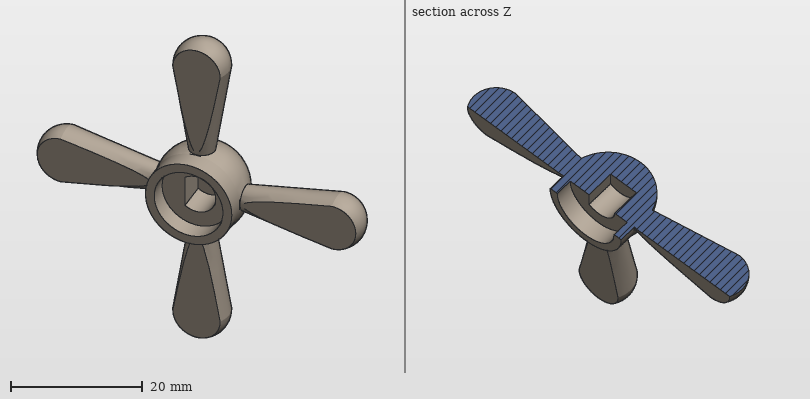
import cadquery as cq
import math

span = 54.0
height = 12.68
base_height = 3.0
dome_radius = 7.5
base_y = dome_radius - height
flat_y = base_y + base_height

arm_count = 4
knob_radius = 4.5
knob_centre = span / 2 - knob_radius
flat_start = 7.65

recess_radius = 5.7
recess_depth = 3.0
spindle_radius = 3.2
spindle_flat_x = -1.9
spindle_depth = 5.0


def hub():
    """Spherical dome on a short cylinder whose radius matches the dome where they meet."""
    base_radius = math.sqrt(dome_radius**2 - flat_y**2)
    profile = (
        cq.Workplane("XY")
        .moveTo(0, base_y)
        .lineTo(base_radius, base_y)
        .lineTo(base_radius, flat_y)
        .threePointArc((dome_radius, 0), (0, dome_radius))
        .close()
    )
    return profile.revolve(360, (0, 0, 0), (0, 1, 0))


def arm():
    """Arm along +X that widens to a ball, with its -Y side cut flat."""
    taper = (knob_radius + flat_y) / (knob_centre - flat_start)
    radius_at_hub_axis = knob_radius - taper * knob_centre
    profile = (
        cq.Workplane("XY")
        .lineTo(0, radius_at_hub_axis)
        .lineTo(knob_centre, knob_radius)
        .radiusArc((span / 2, 0), knob_radius)
        .close()
    )
    round_arm = profile.revolve(360, (0, 0, 0), (1, 0, 0))
    above_flat = cq.Workplane("XY").box(span, span, span).translate((0, flat_y + span / 2, 0))
    return round_arm.intersect(above_flat)


def spindle_socket():
    """Round recess in the base, followed by a D-shaped blind hole."""
    base = cq.Workplane("XZ", origin=(0, base_y, 0))
    recess = base.circle(recess_radius).extrude(-recess_depth)
    round_hole = base.circle(spindle_radius).extrude(-(recess_depth + spindle_depth))
    beyond_flat = cq.Workplane("XY").box(span, span, span).translate((spindle_flat_x + span / 2, 0, 0))
    return recess.union(round_hole.intersect(beyond_flat))


result = hub()
for index in range(arm_count):
    result = result.union(arm().rotate((0, 0, 0), (0, 1, 0), index * 360 / arm_count))
result = result.cut(spindle_socket())